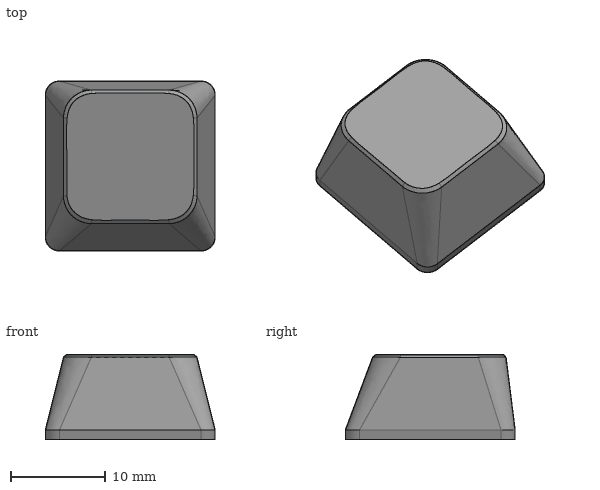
import cadquery as cq

base_width = 18.0
base_corner_radius = 1.5
skirt_height = 1.0

total_height = 9.0
top_width = 14.0
top_corner_radius = 3.0
top_shift_y = 1.0
top_edge_chamfer = 0.3


def rounded_square(width, corner_radius):
    """Sketch of a centred square with rounded corners."""
    return cq.Sketch().rect(width, width).vertices().fillet(corner_radius)


def make_skirt():
    """Straight band that carries the tapered body."""
    outline = rounded_square(base_width, base_corner_radius)
    return cq.Workplane("XY").placeSketch(outline).extrude(skirt_height)


def make_tapered_body():
    """Ruled taper from the skirt outline to the shifted top outline, with a chamfered top edge."""
    lower_outline = rounded_square(base_width, base_corner_radius)
    upper_outline = rounded_square(top_width, top_corner_radius)
    upper_place = cq.Location(cq.Vector(0, top_shift_y, total_height - skirt_height))
    body = (
        cq.Workplane("XY")
        .workplane(offset=skirt_height)
        .placeSketch(lower_outline, upper_outline.moved(upper_place))
        .loft(ruled=True)
    )
    return body.faces(">Z").edges().chamfer(top_edge_chamfer)


result = make_skirt().union(make_tapered_body())